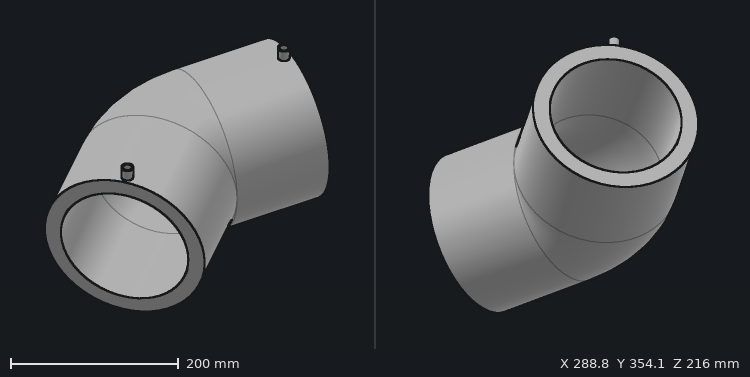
import cadquery as cq
import math

outer_radius = 100.5
inner_radius = 80.0
leg_length = 124.0
bend_angle = 45.0
inside_bend_radius = 0.45
bend_radius = outer_radius + inside_bend_radius

terminal_radius = 7.0
terminal_bore_radius = 5.3
terminal_top = 115.5
terminal_end_distance = 10.5
terminal_embedment = 3.5
terminal_root = outer_radius - terminal_embedment
terminal_bore_depth = terminal_top - outer_radius

angle = math.radians(bend_angle)
leg_direction = (math.sin(angle), math.cos(angle))
bend_end = (bend_radius * (1 - math.cos(angle)), bend_radius * math.sin(angle))


def along_second_leg(distance):
    """Point on the second leg's centreline, measured from the bend."""
    return tuple(start + distance * step for start, step in zip(bend_end, leg_direction))


def elbow(radius):
    """Solid elbow of circular section."""
    first_leg = cq.Workplane("XZ").circle(radius).extrude(leg_length)
    bend = cq.Workplane("XZ").circle(radius).revolve(
        bend_angle, (bend_radius, 0), (bend_radius, -1)
    )
    second_plane = cq.Plane(
        origin=(*bend_end, 0), xDir=(0, 0, 1), normal=(*leg_direction, 0)
    )
    second_leg = cq.Workplane(second_plane).circle(radius).extrude(leg_length)
    return first_leg.union(bend).union(second_leg)


def terminal(position):
    """Upright round post with a blind bore in its top."""
    post = (
        cq.Workplane("XY", origin=(*position, terminal_root))
        .circle(terminal_radius)
        .extrude(terminal_top - terminal_root)
    )
    return post.faces(">Z").workplane().hole(2 * terminal_bore_radius, terminal_bore_depth)


result = elbow(outer_radius).cut(elbow(inner_radius))

terminal_offset = leg_length - terminal_end_distance
for position in ((0, -terminal_offset), along_second_leg(terminal_offset)):
    result = result.union(terminal(position))